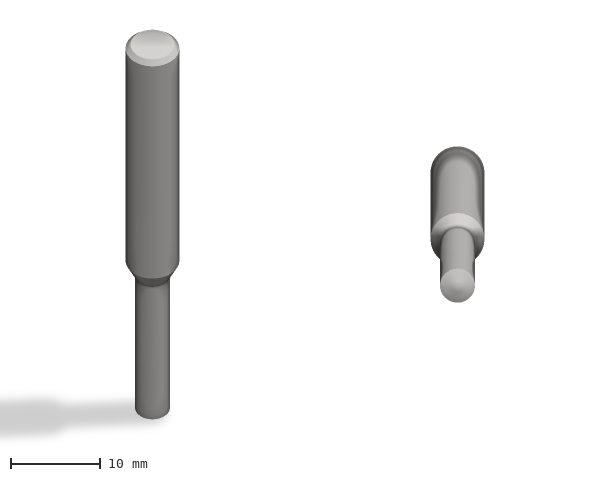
import cadquery as cq
import math

total_length = 55.6
shank_diameter = 6.0
neck_diameter = 3.9
shank_chamfer = 0.55

split_height = 8.55
neck_top = 20.75
taper_height = 2.2

point_angle = 140.0

shank_radius = shank_diameter / 2
neck_radius = neck_diameter / 2
taper_top = neck_top + taper_height
point_height = neck_radius / math.tan(math.radians(point_angle / 2))


def revolve_profile(points):
    """Turn a closed (radius, height) outline about the Z axis."""
    return cq.Workplane("XZ").polyline(points).close().revolve(360, (0, 0, 0), (0, 1, 0))


def make_shank():
    """Chamfered shank that tapers down to the neck."""
    return revolve_profile([
        (0, split_height),
        (neck_radius, split_height),
        (neck_radius, neck_top),
        (shank_radius, taper_top),
        (shank_radius, total_length - shank_chamfer),
        (shank_radius - shank_chamfer, total_length),
        (0, total_length),
    ])


def make_cutting_head():
    """Plain cylinder with a conical point, seated on the end of the neck."""
    return revolve_profile([
        (0, 0),
        (neck_radius, point_height),
        (neck_radius, split_height),
        (0, split_height),
    ])


shank = make_shank()
cutting_head = make_cutting_head()

result = cq.Compound.makeCompound([shank.val(), cutting_head.val()])